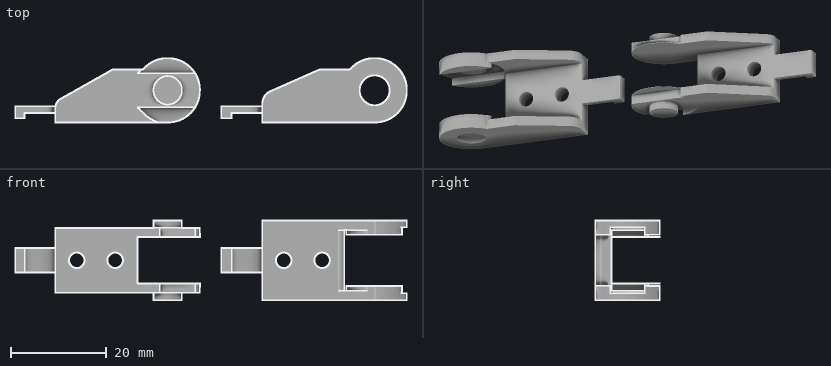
import cadquery as cq
import math

OVERALL_LENGTH = 81.9
LINK_PITCH = 43.2

EYE_DIAMETER = 13.5
EYE_RADIUS = EYE_DIAMETER / 2
FRONT_Y = -EYE_RADIUS
HEEL_X = -23.5
SHOULDER_X = -11.5
SHOULDER_Y = FRONT_Y + 11.1
PLATE_THICKNESS = 3.4
PLATE_END_X = -6.3

HOOK_HEIGHT = 5.15
HOOK_ARM_THICKNESS = 1.5
HOOK_DEPTH = 2.5
PLATE_BACK_Y = FRONT_Y + PLATE_THICKNESS
HOOK_STEP_X = -29.9
PIN_HOOK_END_X = LINK_PITCH + EYE_RADIUS - OVERALL_LENGTH
SOCKET_HOOK_END_X = -32.1

SCREW_HOLE_DIAMETER = 3.2
SCREW_HOLE_XS = (HEEL_X + 4.5, HEEL_X + 12.5)

TONGUE_WIDTH = 7.1
TONGUE_HALF = TONGUE_WIDTH / 2

PIN_HALF_HEIGHT = 6.8
PIN_ARM_THICKNESS = 2.0
PIN_HEEL_HEIGHT = 4.3
PIN_HEEL_RADIUS = 2.2
PIN_DIAMETER = 6.0
RECESS_RADIUS = 7.0
RECESS_FLOOR = 0.1

SOCKET_HALF_HEIGHT = 16.7 / 2
SOCKET_ARM_THICKNESS = 2.05
SOCKET_HEEL_HEIGHT = 5.8
SOCKET_HEEL_RADIUS = 2.95
PAD_THICKNESS = 3.0
PAD_RADIUS = 7.0
CHANNEL_FLOOR = 1.5
PIN_HOLE_DIAMETER = 6.2
PLATE_ROUND_RADIUS = 1.15


def slab(low_z, high_z):
    """Workplane at low_z together with the extrusion height up to high_z."""
    return cq.Workplane("XY", origin=(0, 0, low_z)), high_z - low_z


def box_between(x_range, y_range, z_range):
    plane, height = slab(*z_range)
    return (
        plane.moveTo(x_range[0], y_range[0])
        .lineTo(x_range[1], y_range[0])
        .lineTo(x_range[1], y_range[1])
        .lineTo(x_range[0], y_range[1])
        .close()
        .extrude(height)
    )


def cylinder(radius, low_z, high_z):
    plane, height = slab(low_z, high_z)
    return plane.circle(radius).extrude(height)


def link_outline(half_height, heel_height, heel_radius):
    """Full-height body: sloped back, flat, 45 degree tangent and round eye."""
    tangent = EYE_RADIUS * math.sqrt(0.5)
    neck_x = SHOULDER_Y - 2 * tangent
    plane, height = slab(-half_height, half_height)
    body = (
        plane.moveTo(0, FRONT_Y)
        .threePointArc((EYE_RADIUS, 0), (-tangent, tangent))
        .lineTo(neck_x, SHOULDER_Y)
        .lineTo(SHOULDER_X, SHOULDER_Y)
        .lineTo(HEEL_X, FRONT_Y + heel_height)
        .lineTo(HEEL_X, FRONT_Y)
        .close()
        .extrude(height)
    )
    heel_corner = cq.selectors.NearestToPointSelector((HEEL_X, FRONT_Y + heel_height, 0))
    return body.edges("|Z").edges(heel_corner).fillet(heel_radius)


def cut_between_arms(body, half_gap):
    """Open the back of the link behind the plate, and beyond the plate end."""
    z_range = (-half_gap, half_gap)
    back = box_between((HEEL_X, EYE_RADIUS), (PLATE_BACK_Y, EYE_RADIUS), z_range)
    mouth = box_between((PLATE_END_X, EYE_RADIUS), (FRONT_Y, PLATE_BACK_Y), z_range)
    return body.cut(back).cut(mouth)


def add_hook(body, end_x):
    z_range = (-HOOK_HEIGHT / 2, HOOK_HEIGHT / 2)
    arm = box_between((end_x, HEEL_X + PIN_HEEL_RADIUS),
                      (PLATE_BACK_Y - HOOK_ARM_THICKNESS, PLATE_BACK_Y), z_range)
    tip = box_between((end_x, HOOK_STEP_X), (PLATE_BACK_Y - HOOK_DEPTH, PLATE_BACK_Y), z_range)
    return body.union(arm).union(tip)


def cut_screw_holes(body):
    for x in SCREW_HOLE_XS:
        hole = (
            cq.Workplane("XZ", origin=(x, FRONT_Y, 0))
            .circle(SCREW_HOLE_DIAMETER / 2)
            .extrude(-PLATE_THICKNESS)
        )
        body = body.cut(hole)
    return body


def mirrored_pair(shape):
    return shape, shape.mirror("XY")


def recess_cutter(low_z, high_z):
    """Round clearance with 45 degree flanks toward the heel, outside the tongue band."""
    tangent = RECESS_RADIUS * math.sqrt(0.5)
    plane, height = slab(low_z, high_z)
    clearance = (
        plane.moveTo(-2 * tangent, 0)
        .lineTo(-tangent, -tangent)
        .threePointArc((RECESS_RADIUS, 0), (-tangent, tangent))
        .close()
        .extrude(height)
    )
    reach = 2 * RECESS_RADIUS
    band = box_between((-reach, reach), (-TONGUE_HALF, TONGUE_HALF), (low_z, high_z))
    return clearance.cut(band)


def make_pin_link():
    inner_z = PIN_HALF_HEIGHT - PIN_ARM_THICKNESS
    link = link_outline(PIN_HALF_HEIGHT, PIN_HEEL_HEIGHT, PIN_HEEL_RADIUS)
    link = cut_between_arms(link, inner_z)
    for recess in mirrored_pair(recess_cutter(inner_z + RECESS_FLOOR, PIN_HALF_HEIGHT)):
        link = link.cut(recess)
    for pin in mirrored_pair(cylinder(PIN_DIAMETER / 2, inner_z, SOCKET_HALF_HEIGHT)):
        link = link.union(pin)
    return cut_screw_holes(add_hook(link, PIN_HOOK_END_X))


def eye_pads(low_z, high_z):
    """Raised pads on both sides of the channel, kept inside the link outline."""
    pads = cylinder(PAD_RADIUS, low_z, high_z)
    band = box_between((-PAD_RADIUS, PAD_RADIUS), (-TONGUE_HALF, TONGUE_HALF), (low_z, high_z))
    outline = link_outline(SOCKET_HALF_HEIGHT, SOCKET_HEEL_HEIGHT, SOCKET_HEEL_RADIUS)
    return pads.cut(band).intersect(outline)


def channel_cutter(low_z, high_z):
    """Channel across the eye, rounded about the pivot."""
    band = box_between((-PAD_RADIUS, PAD_RADIUS), (-TONGUE_HALF, TONGUE_HALF), (low_z, high_z))
    return band.intersect(cylinder(PAD_RADIUS, low_z, high_z))


def plate_rounding_cutter(half_gap):
    """Corner left outside a quarter round at the front edge of the plate end."""
    center_x = PLATE_END_X - PLATE_ROUND_RADIUS
    center_y = FRONT_Y + PLATE_ROUND_RADIUS
    diagonal = PLATE_ROUND_RADIUS * math.sqrt(0.5)
    plane, height = slab(-half_gap, half_gap)
    return (
        plane.moveTo(PLATE_END_X, center_y)
        .threePointArc((center_x + diagonal, center_y - diagonal), (center_x, FRONT_Y))
        .lineTo(PLATE_END_X, FRONT_Y)
        .close()
        .extrude(height)
    )


def make_socket_link():
    inner_z = SOCKET_HALF_HEIGHT - SOCKET_ARM_THICKNESS
    pad_z = SOCKET_HALF_HEIGHT - PAD_THICKNESS
    channel_z = SOCKET_HALF_HEIGHT - CHANNEL_FLOOR
    link = link_outline(SOCKET_HALF_HEIGHT, SOCKET_HEEL_HEIGHT, SOCKET_HEEL_RADIUS)
    link = cut_between_arms(link, inner_z).cut(plate_rounding_cutter(inner_z))
    for pads in mirrored_pair(eye_pads(pad_z, inner_z)):
        link = link.union(pads)
    for channel in mirrored_pair(channel_cutter(inner_z, channel_z)):
        link = link.cut(channel)
    link = link.cut(cylinder(PIN_HOLE_DIAMETER / 2, -SOCKET_HALF_HEIGHT, SOCKET_HALF_HEIGHT))
    link = cut_screw_holes(add_hook(link, SOCKET_HOOK_END_X))
    return link.translate((LINK_PITCH, 0, 0))


pin_link = make_pin_link()
socket_link = make_socket_link()
result = cq.Compound.makeCompound([pin_link.val(), socket_link.val()])